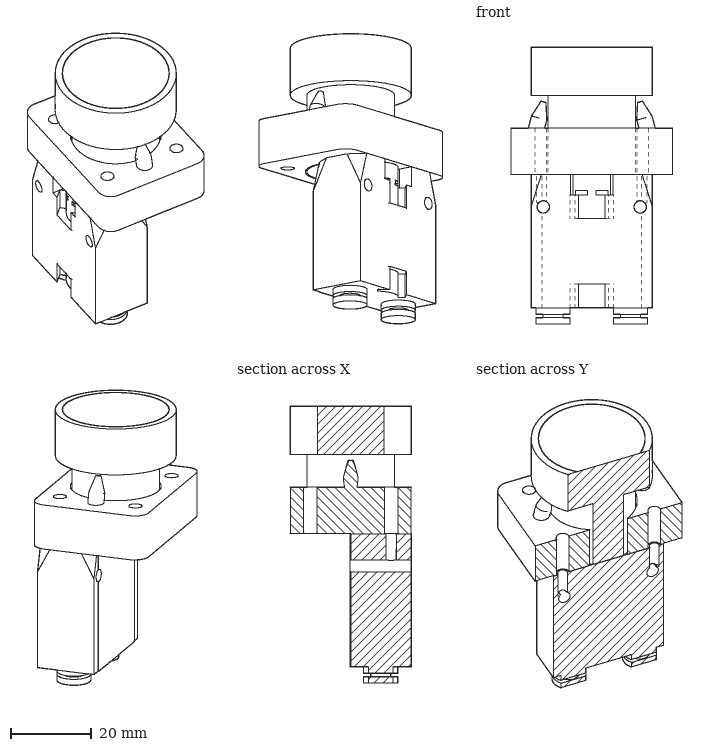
import cadquery as cq
import math


PLATE_LENGTH = 40.0
PLATE_WIDTH = 30.0
PLATE_HEIGHT = 11.5
PLATE_CORNER_RADIUS = 3.55
PLATE_BOTTOM = -PLATE_HEIGHT
NECK_HOLE_DIAMETER = 22.5
SCREW_X = 12.5
SCREW_Y = 10.0
CLEARANCE_HOLE_DIAMETER = 3.2
TAPPED_HOLE_DIAMETER = 2.5
TAPPED_HOLE_DEPTH = 6.9

BLOCK_LENGTH = PLATE_WIDTH
BLOCK_HEIGHT = 33.0
BLOCK_FRONT = -PLATE_WIDTH / 2
BACK_PAD_THICKNESS = 0.2
BACK_PAD_LENGTH = 24.65
BLOCK_BACK = 0
BLOCK_BOTTOM = PLATE_BOTTOM - BLOCK_HEIGHT
CORNER_CUT_X = 2.55
CORNER_CUT_Y = 4.25
CORNER_CUT_HEIGHT = 8.0
CROSS_HOLE_X = 12.0
CROSS_HOLE_DROP = 8.0
CROSS_HOLE_DIAMETER = 3.0

COLUMN_RADIUS = 5.9
COLUMN_FRONT = -13.35
COLUMN_CENTRE = COLUMN_FRONT + COLUMN_RADIUS
RECESS_HALF_WIDTH = 5.3
RECESS_BACK = -11.15
RECESS_HEIGHT = 5.1
SLOT_HALF_WIDTH = 3.3
SLOT_FLARE = 2.05
UPPER_SLOT_HEIGHT = 5.8
LOWER_SLOT_HEIGHT = 5.95
WINDOW_INNER_X = 1.0
WINDOW_OUTER_X = 4.0
WINDOW_HEIGHT = 1.1

FITTING_X = 9.6
FITTING_Y = -7.4
FITTING_DIAMETER = 8.5
FITTING_NECK_DIAMETER = 5.0
FITTING_FLANGE_HEIGHT = 1.6
FITTING_NECK_HEIGHT = 0.8

PIN_DIAMETER = 4.0
PIN_TIP_DIAMETER = 1.3
PIN_TILT = 15
PIN_CONE_BASE_X = 13
PIN_CONE_BASE_Z = 2.5
PIN_CONE_LENGTH = 4.2
PIN_SHANK_LENGTH = 5.5

HEAD_DIAMETER = 30.0
HEAD_HEIGHT = 12.0
HEAD_BOTTOM = 8.0
HEAD_TOP = HEAD_BOTTOM + HEAD_HEIGHT
NECK_DIAMETER = 21.7
GROOVE_OUTER_DIAMETER = 26.5
GROOVE_INNER_DIAMETER = 26.3


def column_y(x):
    """Y of the column's front surface at a given X."""
    return COLUMN_CENTRE - math.sqrt(COLUMN_RADIUS**2 - x**2)


def box(x_min, x_max, y_min, y_max, z_min, z_max):
    """Box between two opposite corners."""
    size = (x_max - x_min, y_max - y_min, z_max - z_min)
    return cq.Workplane("XY").box(*size, centered=False).translate((x_min, y_min, z_min))


def cylinder(diameter, z_min, z_max, x=0, y=0):
    """Upright cylinder between two levels."""
    return cq.Workplane("XY", origin=(x, y, z_min)).circle(diameter / 2).extrude(z_max - z_min)


def make_plate():
    return (
        cq.Workplane("XY", origin=(0, 0, PLATE_BOTTOM))
        .rect(PLATE_LENGTH, PLATE_WIDTH)
        .extrude(PLATE_HEIGHT)
        .edges("|Z")
        .fillet(PLATE_CORNER_RADIUS)
    )


def make_corner_cut(x_side, corner_y, y_inward):
    """Tetrahedron that bevels one upper vertical corner of the block."""
    corner = cq.Vector(x_side * BLOCK_LENGTH / 2, corner_y, PLATE_BOTTOM)
    along_x = corner + cq.Vector(-x_side * CORNER_CUT_X, 0, 0)
    along_y = corner + cq.Vector(0, y_inward * CORNER_CUT_Y, 0)
    below = corner + cq.Vector(0, 0, -CORNER_CUT_HEIGHT)
    triangles = [
        (corner, along_x, along_y),
        (corner, along_x, below),
        (corner, along_y, below),
        (along_x, along_y, below),
    ]
    faces = [cq.Face.makeFromWires(cq.Wire.makePolygon(points, close=True)) for points in triangles]
    return cq.Workplane(cq.Solid.makeSolid(cq.Shell.makeShell(faces)))


def make_block():
    half_length = BLOCK_LENGTH / 2
    block = box(-half_length, half_length, BLOCK_FRONT, BLOCK_BACK, BLOCK_BOTTOM, PLATE_BOTTOM)
    for x_side in (-1, 1):
        block = block.cut(make_corner_cut(x_side, BLOCK_FRONT, 1))
        block = block.cut(make_corner_cut(x_side, BLOCK_BACK, -1))
    half_pad = BACK_PAD_LENGTH / 2
    pad_back = BLOCK_BACK + BACK_PAD_THICKNESS
    back_pad = box(-half_pad, half_pad, BLOCK_BACK, pad_back, BLOCK_BOTTOM, PLATE_BOTTOM)
    return block.union(back_pad)


def make_recess():
    """Wide front recess directly below the plate, with the column left standing."""
    column_edge_x = math.sqrt(COLUMN_RADIUS**2 - (RECESS_BACK - COLUMN_CENTRE) ** 2)
    return (
        cq.Workplane("XY", origin=(0, 0, PLATE_BOTTOM - RECESS_HEIGHT))
        .moveTo(-RECESS_HALF_WIDTH, BLOCK_FRONT)
        .lineTo(-RECESS_HALF_WIDTH, RECESS_BACK)
        .lineTo(-column_edge_x, RECESS_BACK)
        .threePointArc((0, COLUMN_FRONT), (column_edge_x, RECESS_BACK))
        .lineTo(RECESS_HALF_WIDTH, RECESS_BACK)
        .lineTo(RECESS_HALF_WIDTH, BLOCK_FRONT)
        .close()
        .extrude(RECESS_HEIGHT)
    )


def make_dovetail_slot(bottom, height):
    """Slot that flares at 45 degrees, then narrows at 45 degrees down to the column."""
    flare_x = SLOT_HALF_WIDTH + SLOT_FLARE
    flare_y = BLOCK_FRONT + SLOT_FLARE
    wall_sum = flare_x + flare_y
    offset = wall_sum - COLUMN_CENTRE
    meet_x = (offset + math.sqrt(2 * COLUMN_RADIUS**2 - offset**2)) / 2
    meet_y = column_y(meet_x)
    return (
        cq.Workplane("XY", origin=(0, 0, bottom))
        .moveTo(-SLOT_HALF_WIDTH, BLOCK_FRONT)
        .lineTo(-flare_x, flare_y)
        .lineTo(-meet_x, meet_y)
        .threePointArc((0, COLUMN_FRONT), (meet_x, meet_y))
        .lineTo(flare_x, flare_y)
        .lineTo(SLOT_HALF_WIDTH, BLOCK_FRONT)
        .close()
        .extrude(height)
    )


def make_window(x_side):
    """Small flat-backed pocket in the column, level with the recess floor."""
    floor = PLATE_BOTTOM - RECESS_HEIGHT
    x_min, x_max = sorted((x_side * WINDOW_INNER_X, x_side * WINDOW_OUTER_X))
    return box(x_min, x_max, COLUMN_FRONT, RECESS_BACK, floor, floor + WINDOW_HEIGHT)


def make_cross_hole(x):
    centre_z = PLATE_BOTTOM - CROSS_HOLE_DROP
    return (
        cq.Workplane("XZ", origin=(x, 0, centre_z))
        .circle(CROSS_HOLE_DIAMETER / 2)
        .extrude(BACK_PAD_THICKNESS - BLOCK_FRONT, both=True)
    )


def make_fitting(x):
    flange_bottom = BLOCK_BOTTOM - FITTING_FLANGE_HEIGHT
    neck_bottom = flange_bottom - FITTING_NECK_HEIGHT
    fitting_bottom = neck_bottom - FITTING_FLANGE_HEIGHT
    upper_flange = cylinder(FITTING_DIAMETER, flange_bottom, BLOCK_BOTTOM, x, FITTING_Y)
    neck = cylinder(FITTING_NECK_DIAMETER, neck_bottom, flange_bottom, x, FITTING_Y)
    lower_flange = cylinder(FITTING_DIAMETER, fitting_bottom, neck_bottom, x, FITTING_Y)
    return upper_flange.union(neck).union(lower_flange)


def make_pin(x_side):
    """Pointed pin leaning toward the operator axis, its foot sunk in the plate."""
    profile = [
        (0, -PIN_SHANK_LENGTH),
        (PIN_DIAMETER / 2, -PIN_SHANK_LENGTH),
        (PIN_DIAMETER / 2, 0),
        (PIN_TIP_DIAMETER / 2, PIN_CONE_LENGTH),
        (0, PIN_CONE_LENGTH),
    ]
    pin = cq.Workplane("XZ").polyline(profile).close().revolve(360, (0, 0), (0, 1))
    pin = pin.rotate((0, 0, 0), (0, 1, 0), -x_side * PIN_TILT)
    return pin.translate((x_side * PIN_CONE_BASE_X, 0, PIN_CONE_BASE_Z))


def make_valve():
    """Valve block with its front recess, slots, holes and hose fittings."""
    recess_floor = PLATE_BOTTOM - RECESS_HEIGHT
    valve = make_block().cut(make_recess())
    valve = valve.cut(make_dovetail_slot(recess_floor - UPPER_SLOT_HEIGHT, UPPER_SLOT_HEIGHT))
    valve = valve.cut(make_dovetail_slot(BLOCK_BOTTOM, LOWER_SLOT_HEIGHT))
    tapped_bottom = PLATE_BOTTOM - TAPPED_HOLE_DEPTH
    for x_side in (-1, 1):
        screw_x = x_side * SCREW_X
        valve = valve.cut(make_window(x_side))
        valve = valve.cut(make_cross_hole(x_side * CROSS_HOLE_X))
        valve = valve.cut(
            cylinder(TAPPED_HOLE_DIAMETER, tapped_bottom, PLATE_BOTTOM, screw_x, -SCREW_Y)
        )
        valve = valve.union(make_fitting(x_side * FITTING_X))
    return valve


def make_mount():
    """Mounting plate with its neck hole, four screw holes and two clamping pins."""
    mount = make_plate().cut(cylinder(NECK_HOLE_DIAMETER, PLATE_BOTTOM, 0))
    for x_side in (-1, 1):
        mount = mount.union(make_pin(x_side))
        for y in (-SCREW_Y, SCREW_Y):
            mount = mount.cut(
                cylinder(CLEARANCE_HOLE_DIAMETER, PLATE_BOTTOM, 0, x_side * SCREW_X, y)
            )
    return mount


def make_rim_groove():
    """Fine V-groove with 45 degree sides that outlines the push button in the top face."""
    outer_radius = GROOVE_OUTER_DIAMETER / 2
    inner_radius = GROOVE_INNER_DIAMETER / 2
    middle_radius = (outer_radius + inner_radius) / 2
    depth = (outer_radius - inner_radius) / 2
    return (
        cq.Workplane("XZ")
        .moveTo(inner_radius, HEAD_TOP)
        .lineTo(middle_radius, HEAD_TOP - depth)
        .lineTo(outer_radius, HEAD_TOP)
        .close()
        .revolve(360, (0, 0), (0, 1))
    )


def make_operator():
    """Round push-button head whose neck passes loosely through the plate onto the valve."""
    neck = cylinder(NECK_DIAMETER, PLATE_BOTTOM, HEAD_BOTTOM)
    collar = cylinder(HEAD_DIAMETER, HEAD_BOTTOM, HEAD_TOP)
    return neck.union(collar).cut(make_rim_groove())


valve = make_valve()
mount = make_mount()
operator = make_operator()

bodies = [body.solids().val() for body in (valve, mount, operator)]
result = cq.Compound.makeCompound(bodies)